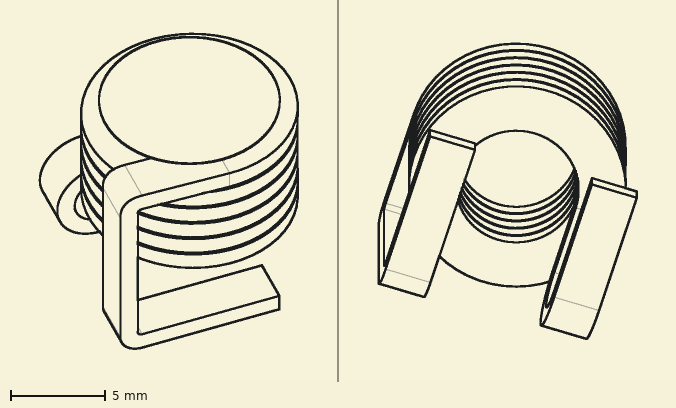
import cadquery as cq
import math

wire_width = 2.5
wire_thickness = 1.0

coil_radius = 5.75
turns = 5.5
pitch = 1.14
coil_start_z = 3.86
mean_radius = coil_radius - wire_width / 2
coil_rise = turns * pitch
coil_end_z = coil_start_z + coil_rise

lead_front_y = -6.25
lead_back_y = 2.84
corner_radius = 1.25
selection_margin = 0.1
lead_slope = pitch / (2 * math.pi * coil_radius)

disc_diameter = 9.6
disc_top_z = 11.33
disc_thickness = 0.05


def make_coil_turns():
    """Rectangular wire section swept along the helix."""
    path = cq.Workplane(
        cq.Wire.makeHelix(pitch, coil_rise, mean_radius, lefthand=True)
    ).rotate((0, 0, 0), (0, 0, 1), 180).translate((0, 0, coil_start_z + wire_thickness / 2))
    section = (
        cq.Workplane("XZ", origin=(-mean_radius, 0, coil_start_z + wire_thickness / 2))
        .rect(wire_width, wire_thickness)
    )
    return section.sweep(path, isFrenet=True)


def lead_plane(start_x):
    """Plane whose local x is +Y and local y is +Z, extruding toward +X."""
    return cq.Workplane("YZ", origin=(start_x, 0, 0))


def make_lower_lead():
    """U-bend that runs from the start of the coil round to a flat foot."""
    outer_radius = (coil_start_z + wire_thickness) / 2
    inner_radius = outer_radius - wire_thickness
    bend_y = lead_front_y + outer_radius
    return (
        lead_plane(-coil_radius)
        .moveTo(0, coil_start_z + wire_thickness)
        .lineTo(bend_y, coil_start_z + wire_thickness)
        .threePointArc((lead_front_y, outer_radius), (bend_y, 0))
        .lineTo(lead_back_y, 0)
        .lineTo(lead_back_y, wire_thickness)
        .lineTo(bend_y, wire_thickness)
        .threePointArc((bend_y - inner_radius, outer_radius), (bend_y, coil_start_z))
        .lineTo(0, coil_start_z)
        .close()
        .extrude(wire_width)
    )


def make_upper_lead():
    """C-shaped strip that leaves the coil end at the helix slope, drops at the front and ends in a foot.

    The foot corners are round, as is the inner top corner; the outer top corner is a fuller parabolic bend.
    """
    inner_front_y = lead_front_y + wire_thickness
    bend_y = lead_front_y + corner_radius
    top_corner_z = coil_end_z + wire_thickness - lead_slope * lead_front_y
    lead = (
        lead_plane(coil_radius - wire_width)
        .moveTo(0, coil_end_z + wire_thickness)
        .lineTo(bend_y, coil_end_z + wire_thickness - lead_slope * bend_y)
        .bezier(
            [(lead_front_y, top_corner_z), (lead_front_y, top_corner_z - corner_radius)],
            includeCurrent=True,
        )
        .lineTo(lead_front_y, corner_radius)
        .radiusArc((bend_y, 0), -corner_radius)
        .lineTo(lead_back_y, 0)
        .lineTo(lead_back_y, wire_thickness)
        .lineTo(inner_front_y, wire_thickness)
        .lineTo(inner_front_y, coil_end_z - lead_slope * inner_front_y)
        .lineTo(0, coil_end_z)
        .close()
        .extrude(wire_width)
    )
    inner_corners = cq.selectors.BoxSelector(
        (0, inner_front_y - selection_margin, 0),
        (2 * coil_radius, inner_front_y + selection_margin, top_corner_z),
    )
    return lead.edges("|X").edges(inner_corners).fillet(corner_radius - wire_thickness)


def make_winding():
    return make_coil_turns().union(make_lower_lead()).union(make_upper_lead())


def make_marking_disc():
    return (
        cq.Workplane("XY", origin=(0, 0, disc_top_z - disc_thickness))
        .circle(disc_diameter / 2)
        .extrude(disc_thickness)
    )


winding = make_winding()
marking_disc = make_marking_disc()

result = cq.Compound.makeCompound([winding.solids().val(), marking_disc.val()])